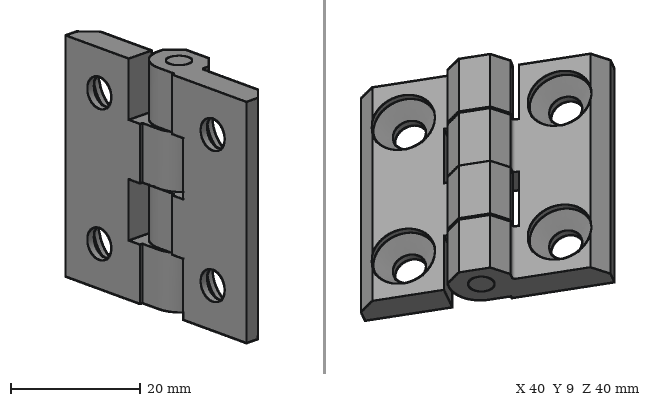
import cadquery as cq

HINGE_SIZE = 40.0
HALF_SIZE = HINGE_SIZE / 2
PLATE_THICKNESS = 5.0
PLATE_CHAMFER = 2.5

KNUCKLE_PITCH = HINGE_SIZE / 4
KNUCKLE_GAP = 0.3
KNUCKLE_HALF_WIDTH = 5.05
KNUCKLE_RISE = 4.0
KNUCKLE_CHAMFER = 2.5
KNUCKLE_ROUND = 5.0
ROOT_FILLET = 0.5
RELIEF_DEPTH = 0.5
RELIEF_HALF_WIDTH = 3.5
SLOT_HALF_WIDTH = 6.0

PIN_RADIUS = 2.05

HOLE_OFFSET = 12.5
HOLE_RADIUS = 2.65
HEAD_RADIUS = 5.1
BORE_LENGTH = 1.4


def pin_cylinder():
    """Full-height cylinder on the hinge axis."""
    return cq.Workplane("XY").workplane(offset=-HALF_SIZE).circle(PIN_RADIUS).extrude(HINGE_SIZE)


def leaf_profile():
    """Cross-section of the right leaf: plate on +X, knuckle around the axis."""
    relief_y = RELIEF_DEPTH - PLATE_THICKNESS
    return (
        cq.Workplane("XY")
        .workplane(offset=-HALF_SIZE)
        .moveTo(HALF_SIZE, -PLATE_THICKNESS)
        .lineTo(HALF_SIZE, -PLATE_CHAMFER)
        .lineTo(HALF_SIZE - PLATE_CHAMFER, 0)
        .lineTo(KNUCKLE_HALF_WIDTH + ROOT_FILLET, 0)
        .radiusArc((KNUCKLE_HALF_WIDTH, ROOT_FILLET), ROOT_FILLET)
        .lineTo(KNUCKLE_HALF_WIDTH, KNUCKLE_RISE - KNUCKLE_CHAMFER)
        .lineTo(KNUCKLE_HALF_WIDTH - KNUCKLE_CHAMFER, KNUCKLE_RISE)
        .lineTo(KNUCKLE_CHAMFER - KNUCKLE_HALF_WIDTH, KNUCKLE_RISE)
        .lineTo(-KNUCKLE_HALF_WIDTH, KNUCKLE_RISE - KNUCKLE_CHAMFER)
        .lineTo(-KNUCKLE_HALF_WIDTH, relief_y + KNUCKLE_ROUND)
        .radiusArc((KNUCKLE_ROUND - KNUCKLE_HALF_WIDTH, relief_y), -KNUCKLE_ROUND)
        .lineTo(RELIEF_HALF_WIDTH, relief_y)
        .lineTo(RELIEF_HALF_WIDTH, -PLATE_THICKNESS)
        .close()
    )


def knuckle_slot(bottom, top):
    """Clearance for one knuckle of the other leaf, between two heights."""
    depth = 2 * (PLATE_THICKNESS + KNUCKLE_RISE)
    return (
        cq.Workplane("XY")
        .workplane(offset=bottom)
        .rect(2 * SLOT_HALF_WIDTH, depth)
        .extrude(top - bottom)
    )


def screw_hole():
    """Stepped hole along Y: straight bore, conical seat, then a wide recess open at the rear face."""
    seat_start = BORE_LENGTH - PLATE_THICKNESS
    seat_end = seat_start + HEAD_RADIUS - HOLE_RADIUS
    return (
        cq.Workplane("XY")
        .moveTo(0, -PLATE_THICKNESS)
        .lineTo(HOLE_RADIUS, -PLATE_THICKNESS)
        .lineTo(HOLE_RADIUS, seat_start)
        .lineTo(HEAD_RADIUS, seat_end)
        .lineTo(HEAD_RADIUS, 0)
        .lineTo(0, 0)
        .close()
        .revolve(360, (0, 0), (0, 1))
    )


def make_right_leaf():
    """Leaf on +X, with knuckles in the first and third quarters from the top."""
    leaf = leaf_profile().extrude(HINGE_SIZE)
    half_gap = KNUCKLE_GAP / 2
    leaf = leaf.cut(knuckle_slot(0, KNUCKLE_PITCH + half_gap))
    leaf = leaf.cut(knuckle_slot(-HALF_SIZE, half_gap - KNUCKLE_PITCH))
    leaf = leaf.cut(pin_cylinder())
    for side in (-1, 1):
        leaf = leaf.cut(screw_hole().translate((HOLE_OFFSET, 0, side * HOLE_OFFSET)))
    return leaf


def make_left_leaf():
    """Right leaf turned end for end about the Y axis."""
    return make_right_leaf().rotate((0, 0, 0), (0, 1, 0), 180)


right_leaf = make_right_leaf()
left_leaf = make_left_leaf()
pin = pin_cylinder()

result = cq.Compound.makeCompound([right_leaf.val(), left_leaf.val(), pin.val()])